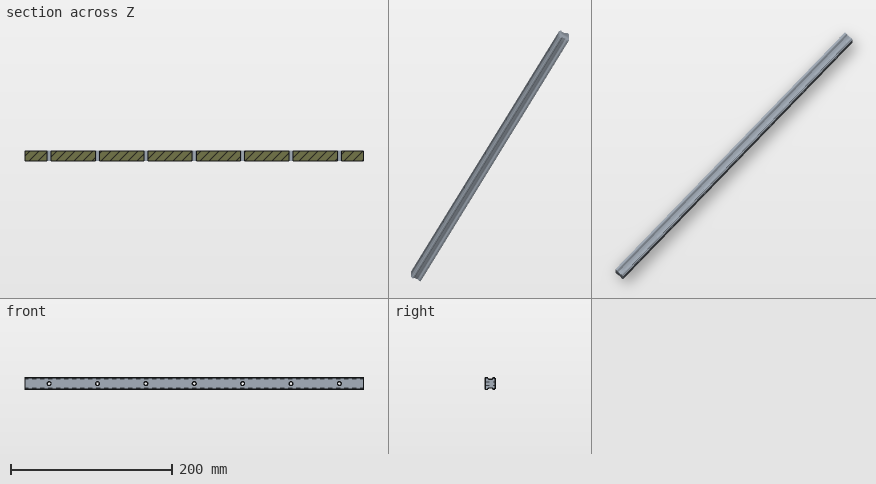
import cadquery as cq
import math

length = 420.0
height = 13.0
width = 15.0

floor_start = 4.63
floor_width = 3.37
waist_depth = 2.0

upper_track_radius = 1.5
lower_track_radius = waist_depth

shoulder_radius = 1.0
base_chamfer = 0.5

hole_diameter = 4.5
hole_pitch = 60.0
hole_count = 7

base_y = -height / 2
head_y = height / 2
floor_start_y = base_y + floor_start
floor_end_y = floor_start_y + floor_width
shoulder_top_y = floor_start_y - waist_depth
lip_start_y = floor_end_y + lower_track_radius
lip_end_y = head_y - upper_track_radius
flank_z = width / 2
floor_z = flank_z - waist_depth


def track_middle(centre_y, radius, toward_y):
    """Middle of a quarter arc that sags inward from a centre on the upper flank."""
    reach = radius * math.sqrt(0.5)
    return centre_y + toward_y * reach, flank_z - reach


def upper_half():
    """Half of the rail above Z = 0, with all of its flank detail."""
    section = (
        cq.Workplane("YZ")
        .moveTo(base_y, 0)
        .lineTo(base_y, flank_z - base_chamfer)
        .lineTo(base_y + base_chamfer, flank_z)
        .lineTo(shoulder_top_y, flank_z)
        .lineTo(floor_start_y, floor_z)
        .lineTo(floor_end_y, floor_z)
        .threePointArc(track_middle(floor_end_y, lower_track_radius, 1), (lip_start_y, flank_z))
        .lineTo(lip_end_y, flank_z)
        .threePointArc(
            track_middle(head_y, upper_track_radius, -1),
            (head_y, flank_z - upper_track_radius),
        )
        .lineTo(head_y, 0)
        .close()
    )
    half = section.extrude(length / 2, both=True)
    shoulder_edge = cq.selectors.NearestToPointSelector((0, shoulder_top_y, flank_z))
    return half.edges("|X").edges(shoulder_edge).fillet(shoulder_radius)


def rail_body():
    """Both halves joined across the Z = 0 plane."""
    half = upper_half()
    return half.union(half.mirror("XY")).clean()


def mounting_holes():
    """Row of plain through holes, centred along the rail."""
    row = cq.Workplane("XZ").rarray(hole_pitch, 1, hole_count, 1)
    return row.circle(hole_diameter / 2).extrude(height, both=True)


result = rail_body().cut(mounting_holes())